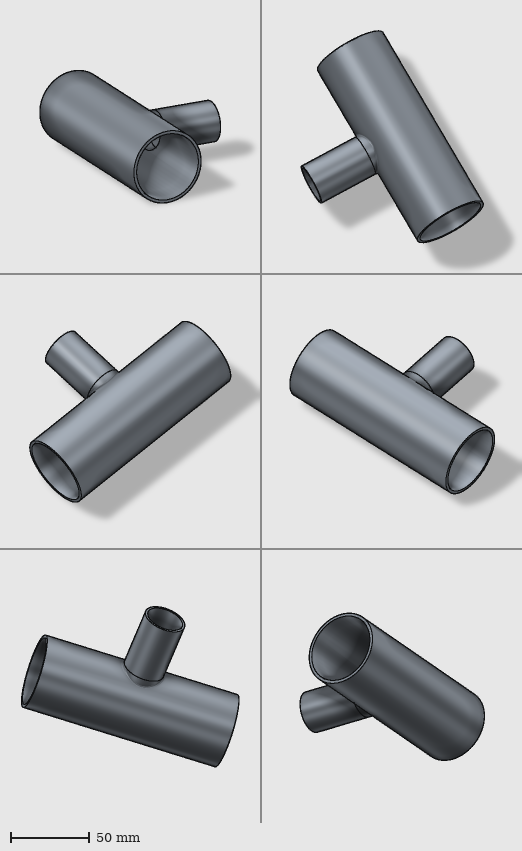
import cadquery as cq

run_length = 130.0
run_diameter = 48.4
run_bore = 44.3
branch_diameter = 26.9
branch_bore = 23.7
branch_end = 65.0
collar_end = 25.7
weld_radius = 1.3


def cylinder_along_x(diameter, length):
    """Cylinder on the X axis, centred on the origin."""
    return cq.Workplane("YZ").circle(diameter / 2).extrude(length / 2, both=True)


def cylinder_along_y(diameter, start, end):
    """Cylinder on the Y axis between two Y positions."""
    return (
        cq.Workplane("XZ", origin=(0, start, 0))
        .circle(diameter / 2)
        .extrude(start - end)
    )


def add_weld_fillet(body):
    """Round the saddle-shaped inside corner where the collar meets the run."""
    margin = 0.1
    seam_box = cq.selectors.BoxSelector(
        (-branch_diameter / 2 - margin, 0, -branch_diameter / 2 - margin),
        (branch_diameter / 2 + margin, collar_end - margin, branch_diameter / 2 + margin),
        boundingbox=True,
    )
    seam = body.edges(seam_box).vals()
    return body.newObject(seam).fillet(weld_radius)


def make_run_pipe():
    """Run pipe with a short filleted collar, bored through both ways."""
    run = cylinder_along_x(run_diameter, run_length)
    collar = cylinder_along_y(branch_diameter, 0, collar_end)
    body = add_weld_fillet(run.union(collar))
    body = body.cut(cylinder_along_x(run_bore, run_length))
    return body.cut(cylinder_along_y(branch_bore, 0, collar_end))


def make_branch_pipe():
    """Straight pipe that butts against the end of the collar."""
    pipe = cylinder_along_y(branch_diameter, collar_end, branch_end)
    return pipe.cut(cylinder_along_y(branch_bore, collar_end, branch_end))


run_pipe = make_run_pipe()
branch_pipe = make_branch_pipe()

result = cq.Compound.makeCompound([run_pipe.val(), branch_pipe.val()])